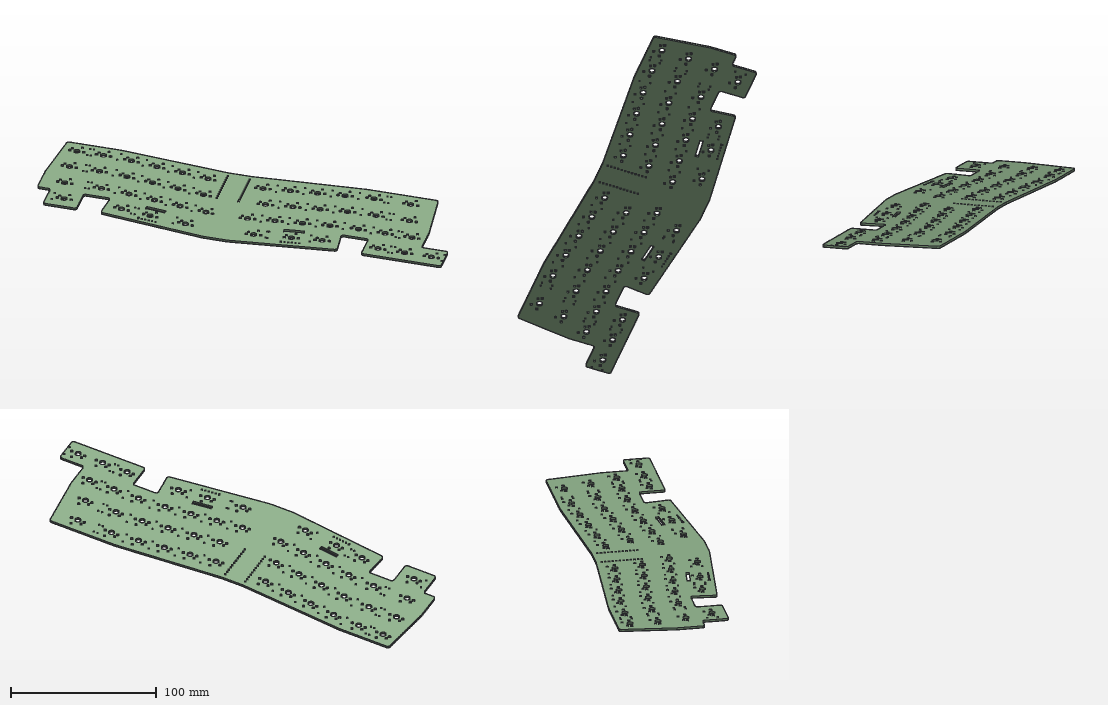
import cadquery as cq
import math


THICKNESS = 1.6
CORNER_RADIUS = 1.8

HALF_LENGTH = 146.5
LEFT_TOP_Y = 43.5
RIGHT_TOP_Y = 43.0
MIDDLE_TOP_Y = 36.5
NOTCH_Y = -15.5
TAB_BOTTOM_Y = -34.0
MIDDLE_BOTTOM_Y = -43.5
LEFT_TAB_X = (-137.0, -113.5)
RIGHT_TAB_X = 89.7
RIGHT_SIDE_X = 127.5

KEY_PITCH = 19.0
FAN_ANGLE = 7.0
STEM_DIAMETER = 4.0
PEG_DIAMETER = 1.8
PEG_OFFSET = 5.0
PIN_DIAMETER = 1.5
PIN_GRID = 2.55
SWITCH_PINS = [(-1.5 * PIN_GRID, PIN_GRID), (PIN_GRID, 2 * PIN_GRID)]

DIODE_DIAMETER = 1.0
DIODE_UPPER_Y = 5.0
DIODE_LOWER_Y = -2.5
MID_GAP = KEY_PITCH / 2
NEAR = 8.2
FAR = 10.5
FARTHEST = 15.2

HEADER_COLUMNS_X = (-24.3, -8.8)
HEADER_CENTER_Y = 18.8
HEADER_PINS = 12
HEADER_DIAMETER = 1.08

MODULE_KEY = 1
SLOT_LENGTH = 14.0
SLOT_WIDTH = 2.3
SLOT_CENTER_X = 0.5
SLOT_CENTER_Y = 8.2
MODULE_PINS = 6
MODULE_PIN_Y = -6.0
MODULE_PIN_DIAMETER = 0.9
FIRST_PIN_LENGTH = 1.8

LEFT_FAN_KEYS = [(i, -MID_GAP) for i in range(4)]
RIGHT_FAN_KEYS = [(i, MID_GAP) for i in range(4)]
LEFT_THUMB_ROW = ((-83.5, -26.0), -FAN_ANGLE, [(0, NEAR), (1.125, -FAR), (2.5, -NEAR)])
RIGHT_THUMB_ROW = ((12.3, -31.5), FAN_ANGLE, [(0, 8.8), (1.375, -16.0), (2.5, -NEAR)])
KEY_ROWS = [
    ((-132.5, 34.0), 0, [(0, NEAR), (1, -NEAR)]),
    ((-132.0, 14.5), 0, [(0, FAR), (1.125, -NEAR)]),
    ((-129.8, -5.5), 0, [(0, FARTHEST), (1.375, -NEAR)]),
    ((-124.8, -24.5), 0, [(0, -NEAR)]),
    ((-93.2, 32.8), -FAN_ANGLE, LEFT_FAN_KEYS),
    ((-90.8, 13.2), -FAN_ANGLE, LEFT_FAN_KEYS),
    ((-83.5, -7.0), -FAN_ANGLE, LEFT_FAN_KEYS),
    LEFT_THUMB_ROW,
    ((3.0, 24.5), FAN_ANGLE, RIGHT_FAN_KEYS),
    ((10.0, 6.2), FAN_ANGLE, RIGHT_FAN_KEYS),
    ((3.0, -13.8), FAN_ANGLE, RIGHT_FAN_KEYS),
    RIGHT_THUMB_ROW,
    ((79.7, 33.5), 0, [(0, NEAR), (1.375, -FARTHEST)]),
    ((86.7, 13.8), 0, [(0, NEAR), (1.25, -12.5)]),
    ((79.7, -5.5), 0, [(0, MID_GAP), (1, NEAR), (2, -NEAR)]),
    ((99.0, -25.0), 0, [(0, NEAR), (1, -NEAR), (2, NEAR)]),
]


def outline_wire():
    left_tab_start, left_tab_end = LEFT_TAB_X
    outline = [
        (-141.8, LEFT_TOP_Y),
        (-103.5, LEFT_TOP_Y),
        (-25.0, MIDDLE_TOP_Y),
        (-8.2, MIDDLE_TOP_Y),
        (72.0, RIGHT_TOP_Y),
        (122.8, RIGHT_TOP_Y),
        (RIGHT_SIDE_X, 3.5),
        (RIGHT_SIDE_X, NOTCH_Y),
        (HALF_LENGTH, NOTCH_Y),
        (HALF_LENGTH, TAB_BOTTOM_Y),
        (RIGHT_TAB_X, TAB_BOTTOM_Y),
        (RIGHT_TAB_X, NOTCH_Y),
        (70.3, NOTCH_Y),
        (72.5, TAB_BOTTOM_Y),
        (-3.0, MIDDLE_BOTTOM_Y),
        (-20.8, MIDDLE_BOTTOM_Y),
        (-96.0, TAB_BOTTOM_Y),
        (-94.3, NOTCH_Y),
        (left_tab_end, NOTCH_Y),
        (left_tab_end, TAB_BOTTOM_Y),
        (left_tab_start, TAB_BOTTOM_Y),
        (left_tab_start, NOTCH_Y),
        (-HALF_LENGTH, NOTCH_Y),
        (-HALF_LENGTH, 4.0),
    ]
    edge = cq.Wire.makePolygon([cq.Vector(x, y) for x, y in outline], close=True)
    return edge.fillet2D(CORNER_RADIUS, edge.Vertices())


def place(point, origin, angle):
    """Plate coordinates of a point given in a frame at `origin` turned by `angle` degrees."""
    x, y = point
    c = math.cos(math.radians(angle))
    s = math.sin(math.radians(angle))
    return (origin[0] + x * c - y * s, origin[1] + x * s + y * c)


def key_center(row, index):
    start, angle, keys = row
    pitches, _ = keys[index]
    return place((pitches * KEY_PITCH, 0), start, angle)


def circles(points, diameter):
    up = cq.Vector(0, 0, 1)
    return [cq.Wire.makeCircle(diameter / 2, cq.Vector(x, y), up) for x, y in points]


def switch_holes(center, angle, diode_x):
    pegs = [(-PEG_OFFSET, 0), (PEG_OFFSET, 0)]
    diode = [(diode_x, DIODE_UPPER_Y), (diode_x, DIODE_LOWER_Y)]
    return (
        circles([center], STEM_DIAMETER)
        + circles([place(point, center, angle) for point in pegs], PEG_DIAMETER)
        + circles([place(point, center, angle) for point in SWITCH_PINS], PIN_DIAMETER)
        + circles([place(point, center, angle) for point in diode], DIODE_DIAMETER)
    )


def key_row_holes(row):
    _, angle, keys = row
    holes = []
    for index, (_, diode_x) in enumerate(keys):
        holes += switch_holes(key_center(row, index), angle, diode_x)
    return holes


def pin_row(count):
    """Places of `count` pins along a line, centred on zero."""
    return [(i - (count - 1) / 2) * PIN_GRID for i in range(count)]


def header_holes():
    points = [(x, HEADER_CENTER_Y + y) for x in HEADER_COLUMNS_X for y in pin_row(HEADER_PINS)]
    return circles(points, HEADER_DIAMETER)


def module_holes(thumb_row):
    angle = thumb_row[1]
    center = key_center(thumb_row, MODULE_KEY)

    left = SLOT_CENTER_X - SLOT_LENGTH / 2
    right = SLOT_CENTER_X + SLOT_LENGTH / 2
    lower = SLOT_CENTER_Y - SLOT_WIDTH / 2
    upper = SLOT_CENTER_Y + SLOT_WIDTH / 2
    corners = [(left, lower), (right, lower), (right, upper), (left, upper)]
    slot_points = [cq.Vector(*place(corner, center, angle)) for corner in corners]
    slot = cq.Wire.makePolygon(slot_points, close=True)

    pins = [place((x, MODULE_PIN_Y), center, angle) for x in pin_row(MODULE_PINS)]
    first_pin = (
        cq.Workplane("XY")
        .center(*pins[0])
        .slot2D(FIRST_PIN_LENGTH, MODULE_PIN_DIAMETER, angle + 90)
        .val()
    )
    return [slot, first_pin] + circles(pins[1:], MODULE_PIN_DIAMETER)


holes = header_holes() + module_holes(LEFT_THUMB_ROW) + module_holes(RIGHT_THUMB_ROW)
for key_row in KEY_ROWS:
    holes += key_row_holes(key_row)

board = cq.Solid.extrudeLinear(outline_wire(), holes, cq.Vector(0, 0, THICKNESS))
result = cq.Workplane("XY").newObject([board.translate(cq.Vector(0, 0, -THICKNESS / 2))])